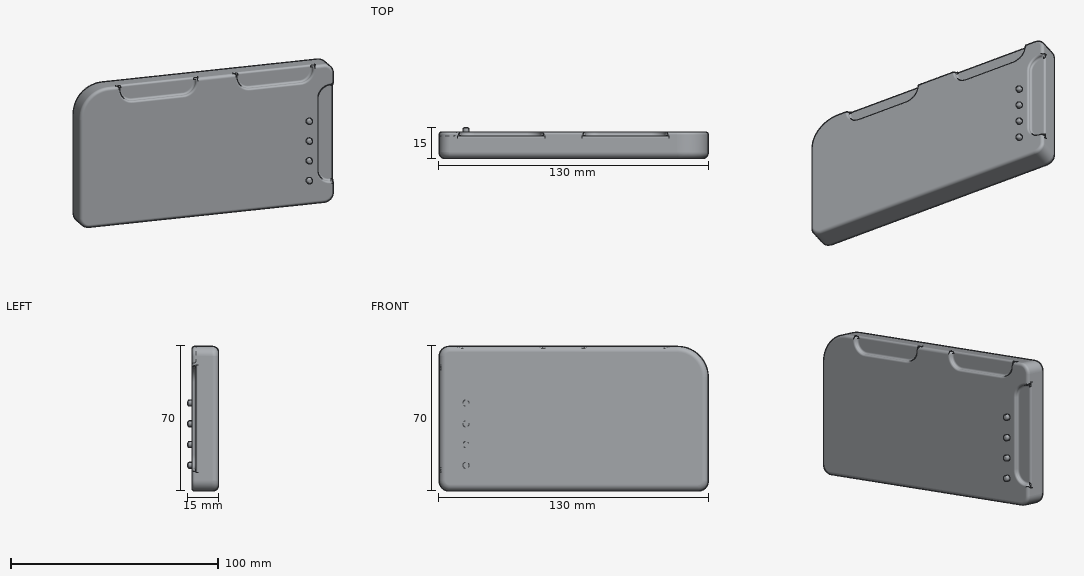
import cadquery as cq
import math

length = 130.0
height = 70.0
thickness = 13.0
corner_radius = 5.0
large_corner_radius = 15.0
front_fillet = 3.0
back_fillet = 1.5

edge_blend = 1.0
straight_wall = 0.03
recess_step = 2 * edge_blend + straight_wall
mouth_radius = 1.5
inner_radius = 6.5
recess_reach = mouth_radius + inner_radius
top_recess_width = 42.0
top_recess_centers = (30.0, 90.0)
left_recess_width = 52.0
stock_margin = 5.2

pin_diameter = 3.0
pin_height = 2.0
pin_fillet = 0.9
pin_x = 13.0
lowest_pin_z = 12.5
pin_pitch = 10.0
pin_count = 4


def prism(outline, y_start, depth):
    """Extrude an XZ outline toward +Y, starting at y_start."""
    return outline.extrude(-depth).translate((0, y_start, 0))


def make_body():
    body = prism(cq.Workplane("XZ").rect(length, height, centered=False), 0, thickness)
    body = body.edges("|Y and >X and >Z").fillet(large_corner_radius)
    body = body.edges("|Y and (<X or <Z)").fillet(corner_radius)
    return body.faces("<Y").edges().fillet(front_fillet).faces(">Y").edges().fillet(back_fillet)


def recess_former(width):
    """Stock left standing around a recess whose mouth opens toward +Z at z = 0."""
    half = width / 2
    wall = half - mouth_radius
    inner = wall - inner_radius
    side = half + stock_margin
    bottom = -recess_reach - stock_margin
    diagonal = math.cos(math.pi / 4)
    mouth_mid_x = half - mouth_radius * diagonal
    mouth_mid_z = mouth_radius * (diagonal - 1)
    inner_mid_x = inner + inner_radius * diagonal
    inner_mid_z = -mouth_radius - inner_radius * diagonal
    outline = (
        cq.Workplane("XZ")
        .moveTo(-side, bottom)
        .lineTo(side, bottom)
        .lineTo(side, 0)
        .lineTo(half, 0)
        .threePointArc((mouth_mid_x, mouth_mid_z), (wall, -mouth_radius))
        .threePointArc((inner_mid_x, inner_mid_z), (inner, -recess_reach))
        .lineTo(-inner, -recess_reach)
        .threePointArc((-inner_mid_x, inner_mid_z), (-wall, -mouth_radius))
        .threePointArc((-mouth_mid_x, mouth_mid_z), (-half, 0))
        .lineTo(-side, 0)
        .close()
    )
    floor_y = thickness - recess_step
    frame = prism(outline, floor_y, recess_step)
    plate_outline = cq.Workplane("XZ").rect(2 * side, stock_margin - bottom)
    plate = prism(plate_outline, floor_y - stock_margin, stock_margin)
    plate = plate.translate((0, 0, (stock_margin + bottom) / 2))
    far_wall = cq.selectors.NearestToPointSelector((0, thickness, -recess_reach))
    frame = frame.edges(far_wall).fillet(edge_blend)
    far_floor = cq.selectors.NearestToPointSelector((0, floor_y, -recess_reach))
    return frame.union(plate).edges(far_floor).fillet(edge_blend)


def lip_cutter(width):
    """Material removed to round the outer edge of the recess floor."""
    floor_y = thickness - recess_step
    profile = (
        cq.Workplane("YZ")
        .moveTo(floor_y, -edge_blend)
        .radiusArc((floor_y - edge_blend, 0), -edge_blend)
        .lineTo(floor_y - edge_blend, stock_margin)
        .lineTo(floor_y, stock_margin)
        .close()
    )
    return profile.extrude(width / 2, both=True)


def recess_cutter(width):
    depth = recess_reach + edge_blend
    zone_outline = cq.Workplane("XZ").rect(width, depth + edge_blend)
    zone = prism(zone_outline, thickness - recess_step, recess_step)
    zone = zone.translate((0, 0, (edge_blend - depth) / 2))
    return zone.cut(recess_former(width)).union(lip_cutter(width))


def make_pin(pin_z):
    outline = cq.Workplane("XZ").center(pin_x, pin_z).circle(pin_diameter / 2)
    pin = prism(outline, thickness - pin_height, 2 * pin_height)
    return pin.faces(">Y").edges().fillet(pin_fillet)


result = make_body()

for center_x in top_recess_centers:
    result = result.cut(recess_cutter(top_recess_width).translate((center_x, 0, height)))

left_cutter = recess_cutter(left_recess_width).rotate((0, 0, 0), (0, 1, 0), -90)
result = result.cut(left_cutter.translate((0, 0, height / 2)))

for index in range(pin_count):
    result = result.union(make_pin(lowest_pin_z + index * pin_pitch))